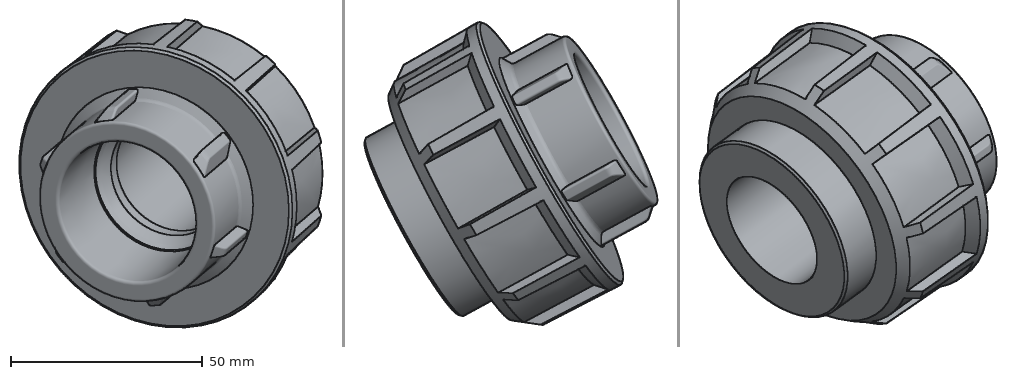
import cadquery as cq
import math


TOTAL_LENGTH = 59.5
NUT_FRONT = 17.95
NUT_LENGTH = 30.05
NUT_REAR = NUT_FRONT + NUT_LENGTH
JOINT = TOTAL_LENGTH / 2

BORE_RADIUS = 16.2

TAIL_RADIUS = 25.1
TAIL_EDGE_ROUND = 0.8
COLLAR_RADIUS = 28.1
SHOULDER_LENGTH = 1.95
SHOULDER_ROUND = 1.25
SOCKET_MOUTH_RADIUS = 19.5
SOCKET_END_RADIUS = 19.05
SOCKET_DEPTH = 21.9
SOCKET_MOUTH_ROUND = 0.9
STEP_RADIUS = 18.75
STEP_END = SOCKET_DEPTH + 0.3
TAPER_RADIUS = 18.0
TAPER_END = 23.8
THROAT_RADIUS = 16.55
THROAT_END = 25.8
THROAT_CHAMFER = BORE_RADIUS - THROAT_RADIUS

TAIL_RIB_TIP_RADIUS = 27.7
TAIL_RIB_FRONT = 1.3
TAIL_RIB_DRAFT = 15.0
TAIL_RIB_TIP_WIDTH = 2.6
TAIL_RIB_ROOT_RADIUS = 21.1
TAIL_RIB_CORNER_ROUND = 2.35
TAIL_RIB_EDGE_ROUND = 0.55
PULL_ANGLE = 72.0
TAIL_RIB_SPACING = 60.0

FLANGE_RADIUS = 39.05
FLANGE_LENGTH = 3.5
FLANGE_CHAMFER = 0.7
POCKET_FRONT_RADIUS = 36.15
POCKET_REAR_RADIUS = 35.9
POCKET_FLOOR_FRONT = 24.2
POCKET_FLOOR_REAR = 45.05
POCKET_OVERCUT = 0.8
NUT_REAR_RADIUS = 33.7
NUT_RIB_COUNT = 10
NUT_RIB_REAR_RADIUS = 38.6
NUT_RIB_FRONT_WIDTH = 4.0
NUT_RIB_REAR_WIDTH = 3.2
FLANGE_REAR = NUT_FRONT + FLANGE_LENGTH
REAR_CONE_SLOPE = (NUT_REAR - POCKET_FLOOR_REAR) / (POCKET_REAR_RADIUS - NUT_REAR_RADIUS)
NUT_RIB_REAR = NUT_REAR - (NUT_RIB_REAR_RADIUS - NUT_REAR_RADIUS) * REAR_CONE_SLOPE

CONNECTOR_RADIUS = 26.55
CONNECTOR_CHAMFER = 0.6


def turned(points):
    """Solid of revolution about Y from (radius, station) points."""
    return cq.Workplane("XY").polyline(points).close().revolve(360, (0, 0, 0), (0, 1, 0))


def circle_edges(body, radius, station):
    """Circular edges about the Y axis with the given radius and station."""
    tolerance = 0.01
    box = cq.selectors.BoxSelector(
        (-radius - tolerance, station - tolerance, -radius - tolerance),
        (radius + tolerance, station + tolerance, radius + tolerance),
        boundingbox=True,
    )
    return body.edges(box).edges(cq.selectors.RadiusNthSelector(-1))


def make_tail_sleeve():
    """Tailpiece without ribs."""
    shoulder_front = NUT_FRONT - SHOULDER_LENGTH
    sleeve = turned([
        (SOCKET_MOUTH_RADIUS, 0),
        (TAIL_RADIUS, 0),
        (TAIL_RADIUS, shoulder_front),
        (COLLAR_RADIUS, NUT_FRONT),
        (COLLAR_RADIUS, JOINT),
        (BORE_RADIUS, JOINT),
        (BORE_RADIUS, THROAT_END - THROAT_CHAMFER),
        (THROAT_RADIUS, THROAT_END),
        (TAPER_RADIUS, TAPER_END),
        (STEP_RADIUS, STEP_END),
        (SOCKET_END_RADIUS, SOCKET_DEPTH),
    ])
    sleeve = circle_edges(sleeve, TAIL_RADIUS, shoulder_front).fillet(SHOULDER_ROUND)
    sleeve = circle_edges(sleeve, TAIL_RADIUS, 0).fillet(TAIL_EDGE_ROUND)
    return circle_edges(sleeve, SOCKET_MOUTH_RADIUS, 0).fillet(SOCKET_MOUTH_ROUND)


def make_tail_rib_envelope():
    """Turned shape that limits the ribs: cylindrical tip and a 45 degree rounded front."""
    root_front = TAIL_RIB_FRONT - (TAIL_RADIUS - TAIL_RIB_ROOT_RADIUS)
    tip_front = TAIL_RIB_FRONT + (TAIL_RIB_TIP_RADIUS - TAIL_RADIUS)
    envelope = turned([
        (TAIL_RIB_ROOT_RADIUS, root_front),
        (TAIL_RIB_TIP_RADIUS, tip_front),
        (TAIL_RIB_TIP_RADIUS, NUT_FRONT),
        (TAIL_RIB_ROOT_RADIUS, NUT_FRONT),
    ])
    return circle_edges(envelope, TAIL_RIB_TIP_RADIUS, tip_front).fillet(TAIL_RIB_CORNER_ROUND)


def is_tip_edge(edge):
    """Whether an edge runs along a side of the rib's outer face, in front of the nut."""
    middle = edge.positionAt(0.5)
    at_tip = math.hypot(middle.x, middle.z) > TAIL_RADIUS - TAIL_RIB_EDGE_ROUND
    start, end = edge.startPoint(), edge.endPoint()
    return at_tip and abs(end.y - start.y) > TAIL_RIB_EDGE_ROUND


def make_tail_rib(envelope, angle, draft_angle):
    """One rib centred on `angle`, its walls drafted about the direction `draft_angle`."""
    offset = math.radians(angle - draft_angle)
    tip_across = TAIL_RIB_TIP_RADIUS * math.sin(offset)
    tip_along = TAIL_RIB_TIP_RADIUS * math.cos(offset)
    overshoot = 2.35
    taper = math.tan(math.radians(TAIL_RIB_DRAFT))
    top_along = tip_along + overshoot
    top_half = TAIL_RIB_TIP_WIDTH / 2 - overshoot * taper
    root_along = TAIL_RIB_ROOT_RADIUS * math.cos(offset)
    root_half = TAIL_RIB_TIP_WIDTH / 2 + (tip_along - root_along) * taper
    wedge = (
        cq.Workplane("XZ")
        .polyline([
            (top_along, tip_across - top_half),
            (top_along, tip_across + top_half),
            (root_along, tip_across + root_half),
            (root_along, tip_across - root_half),
        ])
        .close()
        .extrude(-NUT_FRONT)
        .rotate((0, 0, 0), (0, 1, 0), -draft_angle)
    )
    rib = wedge.intersect(envelope)
    tip_edges = [edge for edge in rib.edges().vals() if is_tip_edge(edge)]
    return rib.newObject(tip_edges).fillet(TAIL_RIB_EDGE_ROUND)


def make_tailpiece():
    tailpiece = make_tail_sleeve()
    envelope = make_tail_rib_envelope()
    for side in (0, 180):
        pull = PULL_ANGLE + side
        rib_directions = [
            (pull - TAIL_RIB_SPACING / 2, pull),
            (pull + TAIL_RIB_SPACING / 2, pull),
            (pull + 90, pull + 90),
        ]
        for angle, draft_angle in rib_directions:
            tailpiece = tailpiece.union(make_tail_rib(envelope, angle, draft_angle))
    return tailpiece


def make_nut_blank():
    """Nut with its front flange and stepped bore, turned to the rib tops."""
    return turned([
        (COLLAR_RADIUS, NUT_FRONT),
        (FLANGE_RADIUS - FLANGE_CHAMFER, NUT_FRONT),
        (FLANGE_RADIUS, NUT_FRONT + FLANGE_CHAMFER),
        (NUT_RIB_REAR_RADIUS, NUT_RIB_REAR),
        (NUT_REAR_RADIUS, NUT_REAR),
        (CONNECTOR_RADIUS, NUT_REAR),
        (CONNECTOR_RADIUS, JOINT),
        (COLLAR_RADIUS, JOINT),
    ])


def make_nut_rib_blades():
    """Tapered blades, one along each rib between two pockets."""
    blade = (
        cq.Workplane("XY")
        .polyline([
            (-NUT_RIB_FRONT_WIDTH / 2, FLANGE_REAR),
            (NUT_RIB_FRONT_WIDTH / 2, FLANGE_REAR),
            (NUT_RIB_REAR_WIDTH / 2, NUT_REAR),
            (-NUT_RIB_REAR_WIDTH / 2, NUT_REAR),
        ])
        .close()
        .extrude(FLANGE_RADIUS + POCKET_OVERCUT)
    )
    return [blade.rotate((0, 0, 0), (0, 1, 0), i * 360 / NUT_RIB_COUNT) for i in range(NUT_RIB_COUNT)]


def make_nut():
    front_slope = (POCKET_FLOOR_FRONT - FLANGE_REAR) / (FLANGE_RADIUS - POCKET_FRONT_RADIUS)
    overcut_radius = FLANGE_RADIUS + POCKET_OVERCUT
    pockets = turned([
        (POCKET_FRONT_RADIUS, POCKET_FLOOR_FRONT),
        (POCKET_REAR_RADIUS, POCKET_FLOOR_REAR),
        (POCKET_REAR_RADIUS, NUT_REAR),
        (overcut_radius, NUT_REAR),
        (overcut_radius, FLANGE_REAR - POCKET_OVERCUT * front_slope),
    ])
    for blade in make_nut_rib_blades():
        pockets = pockets.cut(blade)
    return make_nut_blank().cut(pockets)


def make_connector():
    return turned([
        (BORE_RADIUS, JOINT),
        (CONNECTOR_RADIUS, JOINT),
        (CONNECTOR_RADIUS, TOTAL_LENGTH - CONNECTOR_CHAMFER),
        (CONNECTOR_RADIUS - CONNECTOR_CHAMFER, TOTAL_LENGTH),
        (BORE_RADIUS, TOTAL_LENGTH),
    ])


tailpiece = make_tailpiece()
nut = make_nut()
connector = make_connector()

result = cq.Compound.makeCompound([tailpiece.val(), nut.val(), connector.val()])